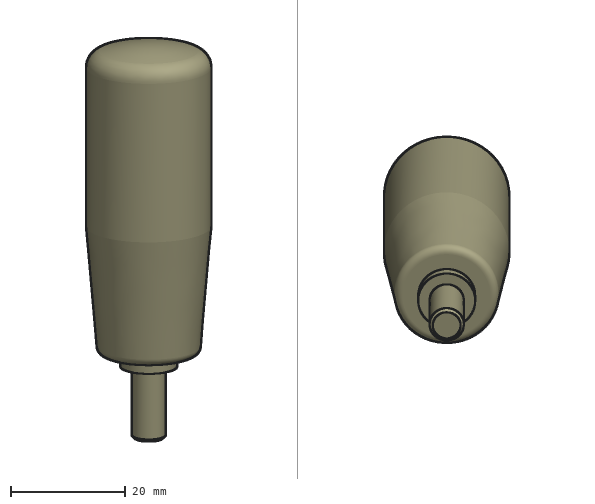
import cadquery as cq
import math

total_height = 71.5
grip_diameter = 22.0

stud_diameter = 6.0
stud_chamfer = 0.6
collar_diameter = 10.0
collar_bottom = 13.0

grip_bottom = 15.4
taper_top = 38.5
taper_bottom_radius = 9.15
taper_angle = math.radians(4.9)
rim_fillet = 1.4
shoulder_fillet = 3.15
crown_sphere_radius = 31.45

grip_radius = grip_diameter / 2

taper_bottom = grip_bottom + rim_fillet * (1 - math.sin(taper_angle))
grip_base_radius = taper_bottom_radius - rim_fillet * math.cos(taper_angle)

shoulder_center_radius = grip_radius - shoulder_fillet
crown_angle = math.asin(shoulder_center_radius / (crown_sphere_radius - shoulder_fillet))
crown_center = total_height - crown_sphere_radius
cylinder_top = crown_center + (crown_sphere_radius - shoulder_fillet) * math.cos(crown_angle)


def crown_point(angle):
    """Point on the crown profile at an angle from the axis."""
    return (
        crown_sphere_radius * math.sin(angle),
        crown_center + crown_sphere_radius * math.cos(angle),
    )


def make_grip():
    """Revolve the domed, tapered handle about the Z axis."""
    profile = (
        cq.Workplane("XZ")
        .moveTo(0, grip_bottom)
        .lineTo(grip_base_radius, grip_bottom)
        .tangentArcPoint((taper_bottom_radius, taper_bottom), relative=False)
        .lineTo(grip_radius, taper_top)
        .lineTo(grip_radius, cylinder_top)
        .tangentArcPoint(crown_point(crown_angle), relative=False)
        .threePointArc(crown_point(crown_angle / 2), (0, total_height))
        .close()
    )
    return profile.revolve(360, (0, 0, 0), (0, 1, 0))


def make_collar():
    """Plain collar under the grip."""
    return (
        cq.Workplane("XY")
        .workplane(offset=collar_bottom)
        .circle(collar_diameter / 2)
        .extrude(grip_bottom - collar_bottom)
    )


def make_stud():
    """Stud with a chamfered lower end."""
    return (
        cq.Workplane("XY")
        .circle(stud_diameter / 2)
        .extrude(collar_bottom)
        .faces("<Z")
        .chamfer(stud_chamfer)
    )


result = make_grip().union(make_collar()).union(make_stud())